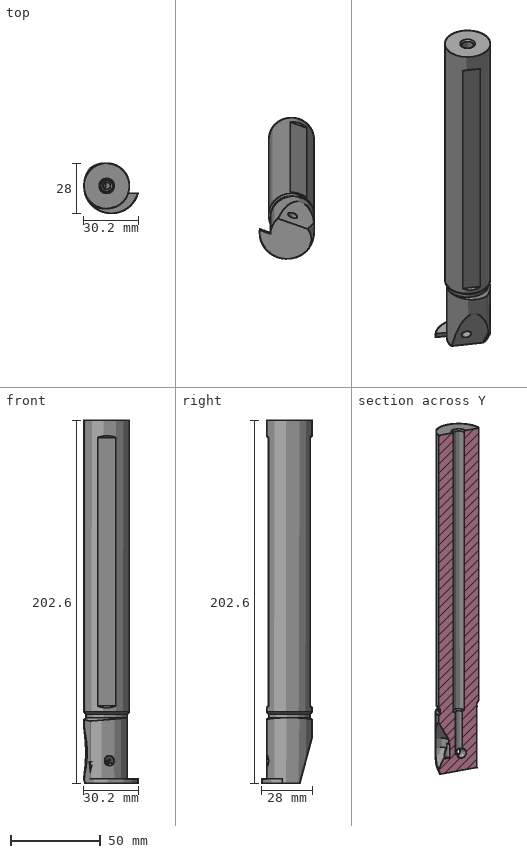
import math

import cadquery as cq

TOTAL_LENGTH = 202.62
SHANK_RADIUS = 12.7

FLAT_WIDTH = 9.9
FLAT_BOTTOM_Z = 43.2
FLAT_TOP_Z = 192.9

SHANK_BOTTOM_Z = 39.9
NECK_TOP_Z = 38.6
NECK_BOTTOM_Z = 36.6
NECK_RADIUS = 11.6

SWING_RADIUS = 15.34
SWING_CENTER_X = SWING_RADIUS - SHANK_RADIUS
RELIEF_RADIUS = SHANK_RADIUS
RELIEF_CENTER_X = -1.1

BLADE_THICKNESS = 2.6
BLADE_TIP_X = 17.46
RAKE_FACE_Y = -math.sqrt(SWING_RADIUS**2 - (BLADE_TIP_X - SWING_CENTER_X) ** 2)

CHIP_SLOPE_TOP_Z = 25.6
CHIP_SLOPE_ANGLE = 15.0

HEEL_RADIUS = 10.2
HEEL_CENTER = (-1.8, -2.56)
HEEL_LEAN = (-0.36, 0.25)
HEEL_HEIGHT = 12.0

SCOOP_RADIUS = 6.3
SCOOP_CENTER_X = -12.5
SCOOP_CENTER_Y = -1.05
SCOOP_MID_Z = 17.2
SCOOP_HALF_HEIGHT = 14.0
SCOOP_UPRIGHT_HALF_HEIGHT = 2.75

POCKET_RADIUS = 1.6
POCKET_CENTER_X = -7.3
POCKET_BOTTOM_Z = 9.0

BORE_RADIUS = 3.3
BORE_MOUTH_RADIUS = 4.2
BORE_BOTTOM_Z = 34.0
DRILL_TIP_ANGLE = 118.0
CHANNEL_RADIUS = 2.1
CHANNEL_BOTTOM_Z = 10.5
CROSS_HOLE_RADIUS = 2.65
CROSS_HOLE_X = 1.5
CROSS_HOLE_Z = 12.8
CROSS_HOLE_DIP = 11.0
CROSS_HOLE_SWING = 2.0

CLEAR = 5.0


def cylinder(radius, bottom, top, x=0.0):
    return cq.Workplane("XY", origin=(x, 0, bottom)).circle(radius).extrude(top - bottom)


def make_shank():
    """Turned shank with a chamfered step down to the neck."""
    profile = [
        (0, NECK_BOTTOM_Z),
        (NECK_RADIUS, NECK_BOTTOM_Z),
        (NECK_RADIUS, NECK_TOP_Z),
        (SHANK_RADIUS, SHANK_BOTTOM_Z),
        (SHANK_RADIUS, TOTAL_LENGTH),
        (0, TOTAL_LENGTH),
    ]
    return cq.Workplane("XZ").polyline(profile).close().revolve(360, (0, 0), (0, 1))


def make_head():
    """Overlap of the swing and relief circles, its top flared at 45 degrees from the neck."""
    flare = SWING_RADIUS - NECK_RADIUS
    profile = [
        (0, 0),
        (SWING_RADIUS, 0),
        (SWING_RADIUS, NECK_BOTTOM_Z - flare),
        (NECK_RADIUS, NECK_BOTTOM_Z),
        (0, NECK_BOTTOM_Z),
    ]
    turned = cq.Workplane("XZ").polyline(profile).close().revolve(360, (0, 0), (0, 1))
    swing = cylinder(SWING_RADIUS, 0, NECK_BOTTOM_Z, SWING_CENTER_X)
    relief = cylinder(RELIEF_RADIUS, 0, NECK_BOTTOM_Z, RELIEF_CENTER_X)
    return turned.intersect(swing).intersect(relief)


def make_blade():
    disc = cylinder(SWING_RADIUS, 0, BLADE_THICKNESS, SWING_CENTER_X)
    behind_rake = (
        cq.Workplane("XY", origin=(SWING_CENTER_X, RAKE_FACE_Y, 0))
        .rect(2 * SWING_RADIUS, 2 * SWING_RADIUS)
        .extrude(BLADE_THICKNESS)
        .translate((0, -SWING_RADIUS, 0))
    )
    return disc.intersect(behind_rake)


def make_flat_cutter(side):
    """Cutter for one clamping flat with 45 degree run-outs; side is -1 or +1 along Y."""
    flat_y = math.sqrt(SHANK_RADIUS**2 - (FLAT_WIDTH / 2) ** 2)
    outline = [
        (side * flat_y, FLAT_BOTTOM_Z),
        (side * (flat_y + CLEAR), FLAT_BOTTOM_Z - CLEAR),
        (side * (flat_y + CLEAR), FLAT_TOP_Z + CLEAR),
        (side * flat_y, FLAT_TOP_Z),
    ]
    return cq.Workplane("YZ").polyline(outline).close().extrude(SHANK_RADIUS, both=True)


def make_chip_clearance():
    slope = math.tan(math.radians(CHIP_SLOPE_ANGLE))
    foot_z = 0
    top_z = CHIP_SLOPE_TOP_Z + CLEAR
    outline = [
        (SHANK_RADIUS + (foot_z - CHIP_SLOPE_TOP_Z) * slope, foot_z),
        (SHANK_RADIUS + CLEAR * slope, top_z),
        (SHANK_RADIUS + CLEAR, top_z),
        (SHANK_RADIUS + CLEAR, foot_z),
    ]
    return cq.Workplane("YZ").polyline(outline).close().extrude(2 * SHANK_RADIUS, both=True)


def make_heel_clearance():
    center_x, center_y = HEEL_CENTER
    top_x = center_x + HEEL_LEAN[0] * HEEL_HEIGHT
    top_y = center_y + HEEL_LEAN[1] * HEEL_HEIGHT
    up = cq.Vector(0, 0, 1)
    foot_circle = cq.Wire.makeCircle(HEEL_RADIUS, cq.Vector(center_x, center_y, 0), up)
    top_circle = cq.Wire.makeCircle(HEEL_RADIUS, cq.Vector(top_x, top_y, HEEL_HEIGHT), up)
    leaning_round = cq.Workplane(cq.Solid.makeLoft([foot_circle, top_circle], True))
    corner_x = (
        RELIEF_RADIUS**2 - SWING_RADIUS**2 + SWING_CENTER_X**2 - RELIEF_CENTER_X**2
    ) / (2 * (SWING_CENTER_X - RELIEF_CENTER_X))
    corner_y = -math.sqrt(RELIEF_RADIUS**2 - (corner_x - RELIEF_CENTER_X) ** 2)
    region = (
        cq.Workplane("XY")
        .moveTo(center_x, corner_y)
        .lineTo(-SWING_RADIUS, corner_y)
        .lineTo(-SWING_RADIUS, SWING_RADIUS)
        .lineTo(center_x, SWING_RADIUS)
        .close()
        .extrude(HEEL_HEIGHT)
    )
    return region.cut(leaning_round)


def make_scoop():
    """Level circles joined by straight rulings; the ends run out through the head surface."""
    shift_per_height = (SHANK_RADIUS + SCOOP_RADIUS + SCOOP_CENTER_X) / (
        SCOOP_HALF_HEIGHT - SCOOP_UPRIGHT_HALF_HEIGHT
    )
    end_offset = SCOOP_HALF_HEIGHT + CLEAR
    circles = []
    for offset in (-end_offset, -SCOOP_UPRIGHT_HALF_HEIGHT, SCOOP_UPRIGHT_HALF_HEIGHT, end_offset):
        shift = (abs(offset) - SCOOP_UPRIGHT_HALF_HEIGHT) * shift_per_height
        center = cq.Vector(SCOOP_CENTER_X - shift, SCOOP_CENTER_Y, SCOOP_MID_Z + offset)
        circles.append(cq.Wire.makeCircle(SCOOP_RADIUS, center, cq.Vector(0, 0, -1)))
    return cq.Solid.makeLoft(circles, True)


def make_bore():
    """Blind bore from the shank end with a chamfered mouth and a drill-point bottom."""
    mouth_depth = BORE_MOUTH_RADIUS - BORE_RADIUS
    tip_depth = BORE_RADIUS / math.tan(math.radians(DRILL_TIP_ANGLE / 2))
    profile = [
        (0, BORE_BOTTOM_Z),
        (BORE_RADIUS, BORE_BOTTOM_Z + tip_depth),
        (BORE_RADIUS, TOTAL_LENGTH - mouth_depth),
        (BORE_MOUTH_RADIUS, TOTAL_LENGTH),
        (0, TOTAL_LENGTH),
    ]
    return cq.Workplane("XZ").polyline(profile).close().revolve(360, (0, 0), (0, 1))


def make_cross_hole():
    dip = math.radians(CROSS_HOLE_DIP)
    swing = math.radians(CROSS_HOLE_SWING)
    direction = cq.Vector(math.sin(swing), math.cos(swing), -math.tan(dip)).normalized()
    entry = cq.Vector(CROSS_HOLE_X, -RELIEF_RADIUS, CROSS_HOLE_Z)
    length = 2 * RELIEF_RADIUS + 2 * CLEAR
    return cq.Solid.makeCylinder(CROSS_HOLE_RADIUS, length, entry - direction * CLEAR, direction)


result = make_shank().union(make_head())
for side in (-1, 1):
    result = result.cut(make_flat_cutter(side))
result = result.cut(make_chip_clearance())
result = result.cut(make_heel_clearance())
result = result.union(make_blade())
result = result.cut(make_scoop())
result = result.cut(make_bore())
result = result.cut(cylinder(POCKET_RADIUS, POCKET_BOTTOM_Z, SCOOP_MID_Z, POCKET_CENTER_X))
result = result.cut(cylinder(CHANNEL_RADIUS, CHANNEL_BOTTOM_Z, SHANK_BOTTOM_Z))
result = result.cut(make_cross_hole())